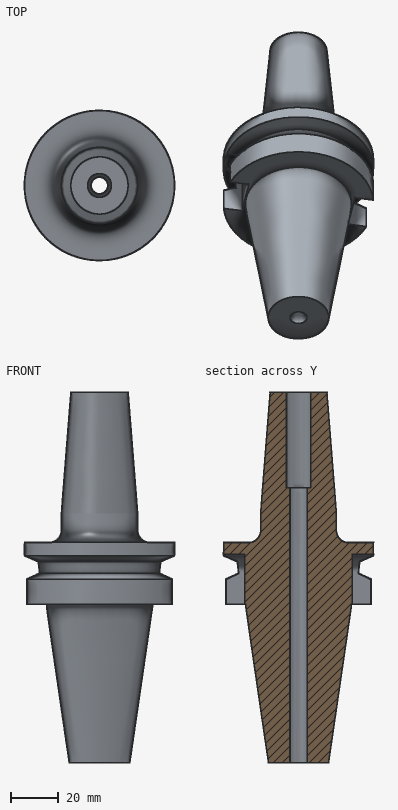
import cadquery as cq
import math


GAUGE_DIAMETER = 44.45
TAPER_RATIO = 7 / 24
TAPER_LENGTH = 65.4

FLANGE_DIAMETER = 63.0
FLANGE_BOTTOM_Z = 1.0
FLANGE_TOP_Z = 27.0
GROOVE_ROOT_DIAMETER = 53.0
GROOVE_CENTER_Z = 16.5
GROOVE_MOUTH_WIDTH = 9.8
GROOVE_ROOT_WIDTH = 5.0

SLOT_WIDTH = 16.1
SLOT_TOP_Z = 22.0
SLOT_FLOOR_DISTANCE = 22.6

NOSE_TOP_Z = 90.0
NOSE_TIP_DIAMETER = 24.0
NECK_DIAMETER = 32.0
NOSE_HALF_ANGLE = 4.5
NECK_FILLET_RADIUS = 5.0

CLAMP_BORE_DIAMETER = 10.0
CLAMP_BORE_DEPTH = 40.0
THROUGH_HOLE_DIAMETER = 7.0


def make_body():
    """Revolve the half profile of taper, flange, neck and nose about Z."""
    gauge_radius = GAUGE_DIAMETER / 2
    small_end_radius = gauge_radius - TAPER_LENGTH * TAPER_RATIO / 2
    flange_radius = FLANGE_DIAMETER / 2
    root_radius = GROOVE_ROOT_DIAMETER / 2
    half_mouth = GROOVE_MOUTH_WIDTH / 2
    half_root = GROOVE_ROOT_WIDTH / 2
    neck_radius = NECK_DIAMETER / 2
    tip_radius = NOSE_TIP_DIAMETER / 2
    cone_length = (neck_radius - tip_radius) / math.tan(math.radians(NOSE_HALF_ANGLE))

    fillet_center_x = neck_radius + NECK_FILLET_RADIUS
    fillet_center_z = FLANGE_TOP_Z + NECK_FILLET_RADIUS
    diagonal = NECK_FILLET_RADIUS * math.sqrt(0.5)
    fillet_middle = (fillet_center_x - diagonal, fillet_center_z - diagonal)

    profile = (
        cq.Workplane("XZ")
        .moveTo(0, -TAPER_LENGTH)
        .lineTo(small_end_radius, -TAPER_LENGTH)
        .lineTo(gauge_radius, 0)
        .lineTo(gauge_radius, FLANGE_BOTTOM_Z)
        .lineTo(flange_radius, FLANGE_BOTTOM_Z)
        .lineTo(flange_radius, GROOVE_CENTER_Z - half_mouth)
        .lineTo(root_radius, GROOVE_CENTER_Z - half_root)
        .lineTo(root_radius, GROOVE_CENTER_Z + half_root)
        .lineTo(flange_radius, GROOVE_CENTER_Z + half_mouth)
        .lineTo(flange_radius, FLANGE_TOP_Z)
        .lineTo(fillet_center_x, FLANGE_TOP_Z)
        .threePointArc(fillet_middle, (neck_radius, fillet_center_z))
        .lineTo(neck_radius, NOSE_TOP_Z - cone_length)
        .lineTo(tip_radius, NOSE_TOP_Z)
        .lineTo(0, NOSE_TOP_Z)
        .close()
    )
    return profile.revolve(360, (0, 0, 0), (0, 1, 0))


def make_drive_slot(side):
    """Round-topped slot cutter, open at the flange bottom; side is -1 or +1 along X."""
    half_width = SLOT_WIDTH / 2
    arc_center_z = SLOT_TOP_Z - half_width
    return (
        cq.Workplane("YZ", origin=(side * SLOT_FLOOR_DISTANCE, 0, 0))
        .moveTo(-half_width, FLANGE_BOTTOM_Z)
        .lineTo(half_width, FLANGE_BOTTOM_Z)
        .lineTo(half_width, arc_center_z)
        .threePointArc((0, SLOT_TOP_Z), (-half_width, arc_center_z))
        .close()
        .extrude(side * FLANGE_DIAMETER / 2)
    )


def make_bores():
    """Clamping bore from the nose tip and the smaller hole along the whole axis."""
    clamp_bore = (
        cq.Workplane("XY", origin=(0, 0, NOSE_TOP_Z))
        .circle(CLAMP_BORE_DIAMETER / 2)
        .extrude(-CLAMP_BORE_DEPTH)
    )
    through_hole = (
        cq.Workplane("XY", origin=(0, 0, -TAPER_LENGTH))
        .circle(THROUGH_HOLE_DIAMETER / 2)
        .extrude(TAPER_LENGTH + NOSE_TOP_Z)
    )
    return clamp_bore.union(through_hole)


result = make_body().cut(make_bores())
for slot_side in (-1, 1):
    result = result.cut(make_drive_slot(slot_side))